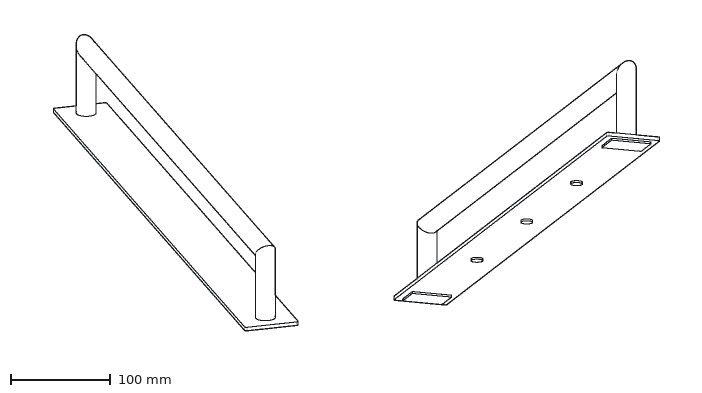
import cadquery as cq

plate_length = 653.5
plate_width = 56.0
plate_thickness = 4.0
plate_corner_radius = 2.0

pad_height = 2.0
end_pad_length = 30.0
end_pad_width = 42.0
foot_diameter = 12.0
foot_spacing = 152.0

total_height = 86.0
handle_length = 629.5
bar_diameter = 20.0

bar_radius = bar_diameter / 2
plate_top = pad_height + plate_thickness
post_x = handle_length / 2 - bar_radius
bar_z = total_height - bar_radius


def make_plate():
    """Thin plate with slightly rounded upright corners."""
    plate = cq.Workplane("XY").workplane(offset=pad_height).rect(plate_length, plate_width)
    return plate.extrude(plate_thickness).edges("|Z").fillet(plate_corner_radius)


def make_handle():
    """Round bar swept up, across and down, with sharp mitred corners."""
    path = (
        cq.Workplane("XZ")
        .moveTo(-post_x, plate_top)
        .lineTo(-post_x, bar_z)
        .lineTo(post_x, bar_z)
        .lineTo(post_x, plate_top)
    )
    profile = cq.Workplane("XY", origin=(-post_x, 0, plate_top)).circle(bar_radius)
    return profile.sweep(path, transition="right")


def make_pads():
    """Rectangular pad below each post and a row of three round feet between them."""
    end_pads = cq.Workplane("XY").pushPoints([(-post_x, 0), (post_x, 0)])
    end_pads = end_pads.rect(end_pad_length, end_pad_width).extrude(pad_height)
    feet = cq.Workplane("XY").rarray(foot_spacing, 6.5, 3, 1)
    feet = feet.circle(foot_diameter / 2).extrude(pad_height)
    return end_pads.union(feet)


result = make_plate().union(make_handle()).union(make_pads())